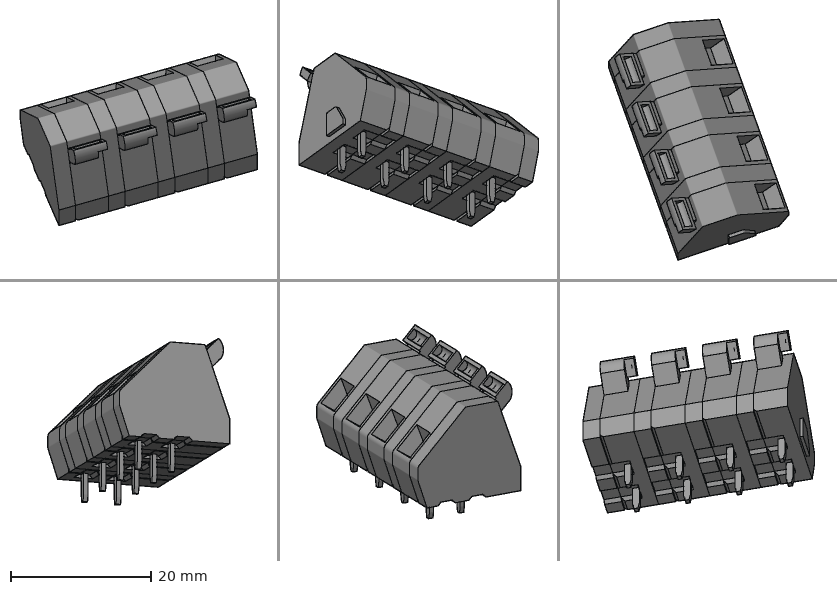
import cadquery as cq

POLE_COUNT = 4
POLE_WIDTH = 5.0
SPACER_WIDTH = POLE_WIDTH / 2
PITCH = POLE_WIDTH + SPACER_WIDTH

DEPTH = 16.75
HEIGHT = 14.2
FOOT_X = 1.5
CHIN_Z = 4.45
SLOPE_TOP_X = 7.75
NOSE_Z = HEIGHT - SLOPE_TOP_X
TOP_REAR_X = 13.0
REAR_WALL_Z = 3.72
NOSE_RADIUS = 0.85
CHIN_RADIUS = 0.5
TOP_RADIUS = 0.198

MOUTH_WIDTH = 3.9
MOUTH_LENGTH = 4.6
MOUTH_SIDE = 0.52
MOUTH_START = 0.52
FLOOR_WIDTH = 2.7
FLOOR_LENGTH = 2.6
FLOOR_SIDE = 0.82
FLOOR_START = 1.05
FUNNEL_DEPTH = 2.53

TIP_X = 15.95
TIP_Z = 15.9
LEVER_THICKNESS = 2.32
LEVER_LENGTH = 4.88
STEM_WIDTH = 3.5
STEM_STEP = 0.25
CAP_WIDTH = 4.9
CAP_LENGTH = 2.85
CAP_THICKNESS = 1.22
NOSE_FLAT = 0.37
NOSE_MIDDLE = (-0.65, -1.7)
NOSE_END_INSET = 1.68
POCKET_WIDTH = 4.0
POCKET_LENGTH = 1.62
POCKET_WALL = 0.3

PIN_X_SIZE = 0.7
PIN_Y_SIZE = 1.0
PIN_TIP_Y_SIZE = 0.58
PIN_LENGTH = 3.6
PIN_TAPER = 0.98
PIN_SPACING = 5.0
FRONT_PIN_X = 4.7
PIN_POSITIONS = [FRONT_PIN_X, FRONT_PIN_X + PIN_SPACING]
PIN_REAR_Y = (POLE_WIDTH + PIN_Y_SIZE) / 2

RELIEF_HEIGHT = 0.5
RELIEF_TOP_WIDTH = 1.83
EDGE_CHAMFER = 0.45

TAB_PROJECTION = 0.5
TAB_FRONT_X = 5.12
TAB_REAR_X = 9.2
TAB_BOTTOM_Z = 1.07
TAB_FRONT_Z = 1.98
TAB_TOP_Z = 4.8
TAB_TOP_FRONT_X = 6.83
TAB_TOP_REAR_X = 9.12
TAB_REAR_Z = 4.33
TAB_RADIUS = 0.5


def extrude_along_y(points, length):
    """Extrude a closed X-Z outline from y = 0 to y = length."""
    return cq.Workplane("XZ").polyline(points).close().extrude(-length)


def round_edge(body, x, z, length, radius):
    """Round the Y-parallel edge that runs through (x, z)."""
    edge = cq.selectors.NearestToPointSelector((x, length / 2, z))
    return body.edges("|Y").edges(edge).fillet(radius)


def housing_slice(width):
    outline = [
        (FOOT_X, 0),
        (0, CHIN_Z),
        (0, NOSE_Z),
        (SLOPE_TOP_X, HEIGHT),
        (TOP_REAR_X, HEIGHT),
        (DEPTH, REAR_WALL_Z),
        (DEPTH, 0),
    ]
    body = extrude_along_y(outline, width)
    body = round_edge(body, 0, CHIN_Z, width, CHIN_RADIUS)
    body = round_edge(body, 0, NOSE_Z, width, NOSE_RADIUS)
    body = round_edge(body, SLOPE_TOP_X, HEIGHT, width, TOP_RADIUS)
    return round_edge(body, TOP_REAR_X, HEIGHT, width, TOP_RADIUS)


def base_reliefs(length):
    """Trapezoidal channels with 45 degree sides, one per pin, open at the base."""
    half_top = RELIEF_TOP_WIDTH / 2
    half_base = half_top + RELIEF_HEIGHT
    channels = cq.Workplane()
    for x in PIN_POSITIONS:
        outline = [
            (x - half_base, 0),
            (x - half_top, RELIEF_HEIGHT),
            (x + half_top, RELIEF_HEIGHT),
            (x + half_base, 0),
        ]
        channels = channels.add(extrude_along_y(outline, length))
    return channels.combine()


def wire_funnel():
    """Tapered entry, wide at the 45 degree face and narrower at its floor."""
    face = cq.Plane(origin=(0, 0, NOSE_Z), xDir=(0, -1, 0), normal=(-1, 0, 1))
    mouth_centre = (-MOUTH_SIDE - MOUTH_WIDTH / 2, MOUTH_START + MOUTH_LENGTH / 2)
    floor_centre = (-FLOOR_SIDE - FLOOR_WIDTH / 2, FLOOR_START + FLOOR_LENGTH / 2)
    return (
        cq.Workplane(face)
        .center(*mouth_centre)
        .rect(MOUTH_WIDTH, MOUTH_LENGTH)
        .workplane(offset=-FUNNEL_DEPTH)
        .center(floor_centre[0] - mouth_centre[0], floor_centre[1] - mouth_centre[1])
        .rect(FLOOR_WIDTH, FLOOR_LENGTH)
        .loft(ruled=True, combine=True)
    )


def lever_plane(y):
    """Plane at the lever tip: local x runs outward along the lever, local y out of the cap face."""
    return cq.Workplane(cq.Plane(origin=(TIP_X, y, TIP_Z), xDir=(1, 0, 1), normal=(0, -1, 0)))


def lever_profile(width):
    return (
        lever_plane(0)
        .moveTo(-LEVER_LENGTH, -STEM_STEP)
        .lineTo(-CAP_LENGTH, -STEM_STEP)
        .lineTo(-CAP_LENGTH, 0)
        .lineTo(0, 0)
        .lineTo(0, -NOSE_FLAT)
        .threePointArc(NOSE_MIDDLE, (-NOSE_END_INSET, -LEVER_THICKNESS))
        .lineTo(-LEVER_LENGTH, -LEVER_THICKNESS)
        .close()
        .extrude(-width)
    )


def lever_pocket():
    pocket_start = -(CAP_LENGTH + POCKET_LENGTH) / 2
    pocket_end = pocket_start + POCKET_LENGTH
    pocket_bottom = (-CAP_LENGTH / 2, -POCKET_WALL - POCKET_LENGTH / 2)
    return (
        lever_plane((CAP_WIDTH - POCKET_WIDTH) / 2)
        .moveTo(pocket_start, 0)
        .lineTo(pocket_start, -POCKET_WALL)
        .threePointArc(pocket_bottom, (pocket_end, -POCKET_WALL))
        .lineTo(pocket_end, 0)
        .close()
        .extrude(-POCKET_WIDTH)
    )


def lever():
    """Narrow stem with a wider cap that overhangs it on the +Y side."""
    cap_limits = (
        lever_plane(0)
        .rect(2 * CAP_LENGTH, 2 * CAP_THICKNESS)
        .extrude(-CAP_WIDTH)
    )
    cap = lever_profile(CAP_WIDTH).intersect(cap_limits)
    return lever_profile(STEM_WIDTH).union(cap).cut(lever_pocket())


def pin(x):
    """Flat pin, tapered in Y at its lower end and rooted in the pole above the relief."""
    half = PIN_Y_SIZE / 2
    half_tip = PIN_TIP_Y_SIZE / 2
    taper_z = PIN_TAPER - PIN_LENGTH
    outline = [
        (-half, 2 * RELIEF_HEIGHT),
        (-half, taper_z),
        (-half_tip, -PIN_LENGTH),
        (half_tip, -PIN_LENGTH),
        (half, taper_z),
        (half, 2 * RELIEF_HEIGHT),
    ]
    corner = (x - PIN_X_SIZE / 2, POLE_WIDTH / 2, 0)
    return cq.Workplane("YZ", origin=corner).polyline(outline).close().extrude(PIN_X_SIZE)


def locking_tab():
    outline = [
        (TAB_FRONT_X, TAB_BOTTOM_Z),
        (TAB_FRONT_X, TAB_FRONT_Z),
        (TAB_TOP_FRONT_X, TAB_TOP_Z),
        (TAB_TOP_REAR_X, TAB_TOP_Z),
        (TAB_REAR_X, TAB_REAR_Z),
        (TAB_REAR_X, TAB_BOTTOM_Z),
    ]
    tab = extrude_along_y(outline, TAB_PROJECTION)
    tab = round_edge(tab, TAB_FRONT_X, TAB_FRONT_Z, TAB_PROJECTION, TAB_RADIUS)
    tab = round_edge(tab, TAB_TOP_FRONT_X, TAB_TOP_Z, TAB_PROJECTION, TAB_RADIUS)
    return tab.translate((0, POLE_WIDTH, 0))


def spacer():
    return housing_slice(SPACER_WIDTH).cut(base_reliefs(SPACER_WIDTH))


def pole(has_tab):
    """Terminal housing with its lever and pins; its -Y face lies at y = 0."""
    body = housing_slice(POLE_WIDTH)
    body = body.faces("<Y").edges("<Z").chamfer(EDGE_CHAMFER)
    body = body.cut(base_reliefs(PIN_REAR_Y)).cut(wire_funnel())
    body = body.union(lever())
    for x in PIN_POSITIONS:
        body = body.union(pin(x))
    if has_tab:
        body = body.union(locking_tab())
    return body


spacers = []
poles = []
for index in range(POLE_COUNT):
    start_y = index * PITCH
    is_last = index == POLE_COUNT - 1
    spacers.append(spacer().translate((0, start_y, 0)))
    poles.append(pole(is_last).translate((0, start_y + SPACER_WIDTH, 0)))

result = cq.Compound.makeCompound([body.val() for body in spacers + poles])